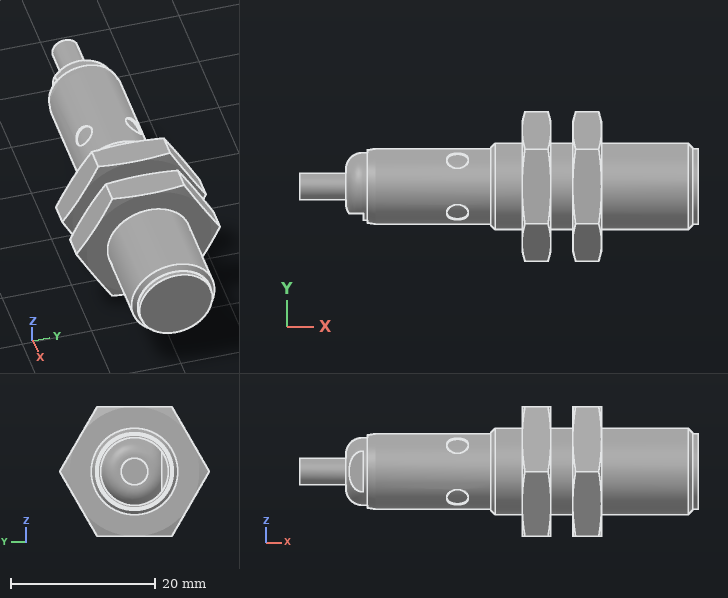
import cadquery as cq
import math

total_length = 55.35
cap_start = 6.4
cap_flat_end = 8.85
sleeve_start = 9.4
sleeve_lead_end = 10.6
barrel_start = 26.5
barrel_end = 54.6

cable_diameter = 3.7
cap_face_diameter = 4.75
cap_diameter = 9.4
sleeve_lead_diameter = 10.15
sleeve_diameter = 10.5
barrel_diameter = 12.0
nose_diameter = 10.5

barrel_chamfer_back = 0.6
barrel_chamfer_front = 0.65
cap_flat_offset = 3.75

window_diameter = 3.0
window_x = 21.9
window_depth = 0.2
window_count = 4
window_first_angle = 45.0

nut_across_flats = 18.0
nut_across_corners = nut_across_flats / math.cos(math.radians(30))
nut_thickness = 4.0
nut_chamfer_length = 0.4
nut_starts = (30.9, 37.95)


def x_cylinder(diameter, start, length):
    return cq.Workplane("YZ", origin=(start, 0, 0)).circle(diameter / 2).extrude(length)


def make_turned_body():
    """Cable, domed cap, sleeve, barrel and nose as one revolved profile."""
    cap_face_radius = cap_face_diameter / 2
    cap_radius = cap_diameter / 2
    dome_radius = cap_radius - cap_face_radius
    dome_center_x = cap_start + dome_radius
    diagonal = dome_radius * math.sqrt(0.5)
    dome_middle = (dome_center_x - diagonal, cap_face_radius + diagonal)
    barrel_radius = barrel_diameter / 2

    profile = (
        cq.Workplane("XY")
        .lineTo(0, cable_diameter / 2)
        .lineTo(cap_start, cable_diameter / 2)
        .lineTo(cap_start, cap_face_radius)
        .threePointArc(dome_middle, (dome_center_x, cap_radius))
        .lineTo(sleeve_start, cap_radius)
        .lineTo(sleeve_start, sleeve_lead_diameter / 2)
        .lineTo(sleeve_lead_end, sleeve_diameter / 2)
        .lineTo(barrel_start, sleeve_diameter / 2)
        .lineTo(barrel_start, barrel_radius - barrel_chamfer_back)
        .lineTo(barrel_start + barrel_chamfer_back, barrel_radius)
        .lineTo(barrel_end - barrel_chamfer_front, barrel_radius)
        .lineTo(barrel_end, barrel_radius - barrel_chamfer_front)
        .lineTo(barrel_end, nose_diameter / 2)
        .lineTo(total_length, nose_diameter / 2)
        .lineTo(total_length, 0)
        .close()
    )
    return profile.revolve(360, (0, 0, 0), (1, 0, 0))


def make_cap_flat_cutter():
    """Block that leaves a flat on the -Y side of the domed cap."""
    return cq.Workplane("XY").box(
        cap_flat_end - cap_start, cap_diameter, cap_diameter, centered=(False, False, True)
    ).translate((cap_start, -cap_flat_offset - cap_diameter, 0))


def make_window_cutter(angle):
    """Shallow round recess whose floor follows the sleeve surface."""
    plug = cq.Workplane("XY", origin=(window_x, 0, 0)).circle(window_diameter / 2).extrude(sleeve_diameter)
    core = x_cylinder(sleeve_diameter - 2 * window_depth, 0, total_length)
    return plug.cut(core).rotate((0, 0, 0), (1, 0, 0), angle)


def make_sensor():
    sensor = make_turned_body().cut(make_cap_flat_cutter())
    for index in range(window_count):
        angle = window_first_angle + index * 360 / window_count
        sensor = sensor.cut(make_window_cutter(angle))
    return sensor


def make_nut(start):
    """Hexagon nut with the corners chamfered on both faces."""
    hexagon = (
        cq.Workplane("YZ", origin=(start, 0, 0))
        .polygon(6, nut_across_corners)
        .extrude(nut_thickness)
    )
    chamfer_envelope = (
        x_cylinder(nut_across_corners, start, nut_thickness)
        .faces("<X or >X")
        .chamfer(nut_chamfer_length, (nut_across_corners - nut_across_flats) / 2)
    )
    bore = x_cylinder(barrel_diameter, start, nut_thickness)
    return hexagon.intersect(chamfer_envelope).cut(bore)


sensor = make_sensor()
nuts = [make_nut(start) for start in nut_starts]

result = cq.Compound.makeCompound([sensor.val(), *[nut.val() for nut in nuts]])